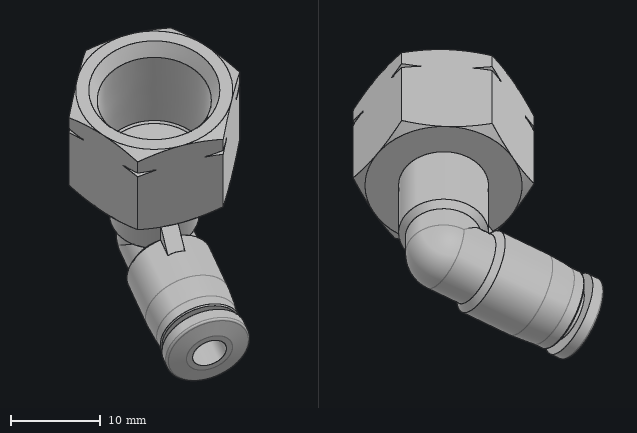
import cadquery as cq
import math


across_flats = 17.45
flat_radius = across_flats / 2
corner_radius = flat_radius / math.cos(math.radians(30))
body_diameter = 10.0
body_radius = body_diameter / 2
overall_height = 29.5
nut_height = 13.0
nut_top = overall_height - body_radius
nut_bottom = nut_top - nut_height
corner_bevel_angle = 30
corner_drop = (corner_radius - flat_radius) * math.tan(math.radians(corner_bevel_angle))

groove_z = nut_top - 2.98
groove_root_radius = 9.2
groove_half_width = 0.32

bore_mouth_radius = 7.3
bore_top_radius = 6.35
bore_bottom_radius = 6.02
bore_floor_radius = 5.78
mouth_bevel_depth = 1.7
floor_bevel_depth = 0.25
bore_depth = 12.25

elbow_radius = 4.25
shoulder_bevel = body_radius - elbow_radius
stem_shoulder = 2.75
socket_shoulder = 4.2

socket_straight_end = 11.2
socket_curve_end = 14.22
socket_end = 15.6
nose_radius = 9.5 / 2
socket_curve_mid_radius = 4.93
nose_edge_bevel = 0.15

button_end = 18.45
button_back = 16.52
button_rim_end = 17.8
button_radius = 9.9 / 2
button_cone_start = 18.05
button_cone_radius = 4.72
button_face_radius = 2.7
neck_radius = 5.95 / 2
neck_flare_start = 16.2
neck_flare_radius = 3.2

passage_radius = 1.5 / 2
tube_radius = 3.98 / 2
tube_stop = socket_shoulder + shoulder_bevel

gusset_reach = 7.3
gusset_thickness = 2.0


def revolve_about_z(profile):
    """Revolve a closed XZ profile about the Z axis."""
    return profile.close().revolve(360, (0, 0, 0), (0, 1, 0))


def revolve_about_x(profile):
    """Revolve a closed XZ profile about the X axis."""
    return profile.close().revolve(360, (0, 0, 0), (1, 0, 0))


def make_nut():
    hexagon = (
        cq.Workplane("XY")
        .workplane(offset=nut_bottom)
        .polygon(6, 2 * corner_radius)
        .extrude(nut_height)
        .rotate((0, 0, 0), (0, 0, 1), 30)
    )
    bevel_envelope = revolve_about_z(
        cq.Workplane("XZ")
        .moveTo(0, nut_bottom)
        .lineTo(flat_radius, nut_bottom)
        .lineTo(corner_radius, nut_bottom + corner_drop)
        .lineTo(corner_radius, groove_z - groove_half_width)
        .lineTo(groove_root_radius, groove_z)
        .lineTo(corner_radius, groove_z + groove_half_width)
        .lineTo(corner_radius, nut_top - corner_drop)
        .lineTo(flat_radius, nut_top)
        .lineTo(0, nut_top)
    )
    return hexagon.intersect(bevel_envelope)


def make_bore():
    floor_z = nut_top - bore_depth
    return revolve_about_z(
        cq.Workplane("XZ")
        .moveTo(0, floor_z)
        .lineTo(bore_floor_radius, floor_z)
        .lineTo(bore_bottom_radius, floor_z + floor_bevel_depth)
        .lineTo(bore_top_radius, nut_top - mouth_bevel_depth)
        .lineTo(bore_mouth_radius, nut_top)
        .lineTo(0, nut_top)
    )


def make_stem():
    return revolve_about_z(
        cq.Workplane("XZ")
        .lineTo(elbow_radius, 0)
        .lineTo(elbow_radius, stem_shoulder)
        .lineTo(body_radius, stem_shoulder + shoulder_bevel)
        .lineTo(body_radius, nut_bottom)
        .lineTo(0, nut_bottom)
    )


def make_socket():
    curve_mid_x = (socket_straight_end + socket_curve_end) / 2
    return revolve_about_x(
        cq.Workplane("XZ")
        .lineTo(0, elbow_radius)
        .lineTo(socket_shoulder, elbow_radius)
        .lineTo(socket_shoulder + shoulder_bevel, body_radius)
        .lineTo(socket_straight_end, body_radius)
        .threePointArc((curve_mid_x, socket_curve_mid_radius), (socket_curve_end, nose_radius))
        .lineTo(socket_end - nose_edge_bevel, nose_radius)
        .lineTo(socket_end, nose_radius - nose_edge_bevel)
        .lineTo(socket_end, neck_radius)
        .lineTo(neck_flare_start, neck_radius)
        .tangentArcPoint((button_back, neck_flare_radius), relative=False)
        .lineTo(button_back, button_radius)
        .lineTo(button_rim_end, button_radius)
        .tangentArcPoint((button_cone_start, button_cone_radius), relative=False)
        .lineTo(button_end, button_face_radius)
        .lineTo(button_end, 0)
    )


def make_gusset():
    return (
        cq.Workplane("XZ")
        .lineTo(gusset_reach + body_radius, 0)
        .lineTo(0, gusset_reach + body_radius)
        .close()
        .extrude(gusset_thickness / 2, both=True)
    )


def make_passages():
    """Narrow passage with a spherical corner, and the wider tube hole."""
    vertical = cq.Workplane("XY").circle(passage_radius).extrude(nut_top)
    horizontal = cq.Workplane("YZ").circle(passage_radius).extrude(tube_stop)
    tube_hole = (
        cq.Workplane("YZ").workplane(offset=tube_stop).circle(tube_radius).extrude(button_end - tube_stop)
    )
    corner = cq.Workplane("XY").sphere(passage_radius)
    return vertical.union(horizontal).union(corner).union(tube_hole)


elbow_corner = cq.Workplane("XY").sphere(elbow_radius)
body = make_stem().union(elbow_corner).union(make_socket()).union(make_gusset())
result = body.union(make_nut()).cut(make_bore()).cut(make_passages())